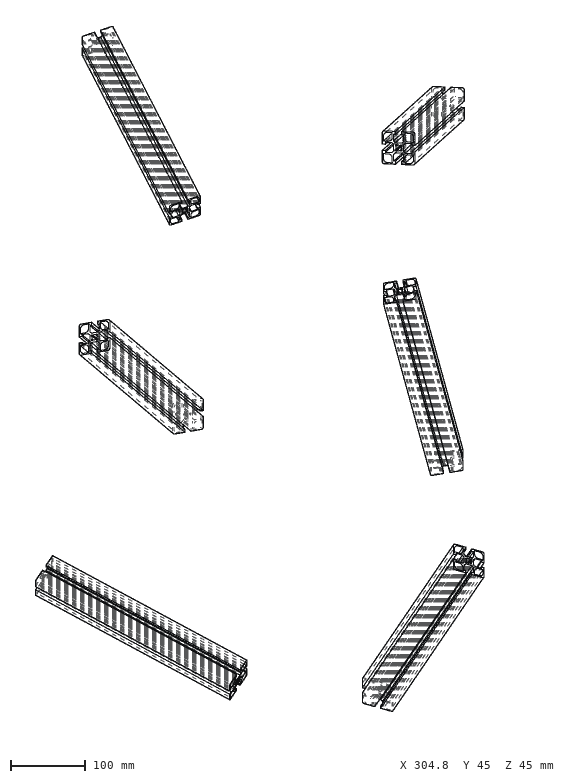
import cadquery as cq

length = 304.8
side = 45.0
corner_radius = 2.7

slot_opening = 8.5
slot_inner_width = 13.7
lip_depth = 4.3
core_width = 13.7
slot_chamfer = 2.5

outer_wall = 1.8
slot_wall = 1.8
chamber_radius = 5.5

bore_diameter = 7.5
lobe_diameter = 1.8
lobe_distance = 4.5

half_side = side / 2
half_core = core_width / 2
half_opening = slot_opening / 2
half_slot = slot_inner_width / 2
lip_height = half_side - lip_depth


def extrude_along_x(sketch):
    return sketch.extrude(length / 2, both=True)


def solid_bar():
    bar = extrude_along_x(cq.Workplane("YZ").rect(side, side))
    return bar.edges("|X").fillet(corner_radius)


def top_slot():
    """T-slot open towards +Z, with its two floor corners bevelled."""
    right_side = [
        (half_slot - slot_chamfer, half_core),
        (half_slot, half_core + slot_chamfer),
        (half_slot, lip_height),
        (half_opening, lip_height),
        (half_opening, half_side),
    ]
    left_side = [(-y, z) for y, z in reversed(right_side)]
    return extrude_along_x(cq.Workplane("YZ").polyline(right_side + left_side).close())


def corner_chamber():
    """Chamber in the +Y +Z corner, rounded where it faces the bar's corner and core."""
    near = half_slot + slot_wall
    size = half_side - outer_wall - near
    middle = near + size / 2
    chamber = extrude_along_x(cq.Workplane("YZ").center(middle, middle).rect(size, size))
    return chamber.edges("(|X and >Y and >Z) or (|X and <Y and <Z)").fillet(chamber_radius)


def lobed_bore():
    bore = extrude_along_x(cq.Workplane("YZ").circle(bore_diameter / 2))
    lobe_centers = cq.Workplane("YZ").polarArray(lobe_distance, 45, 360, 4)
    lobes = extrude_along_x(lobe_centers.circle(lobe_diameter / 2))
    return bore.union(lobes)


result = solid_bar().cut(lobed_bore())
for quarter_turn in range(4):
    angle = 90 * quarter_turn
    for pocket in (top_slot(), corner_chamber()):
        result = result.cut(pocket.rotate((0, 0, 0), (1, 0, 0), angle))